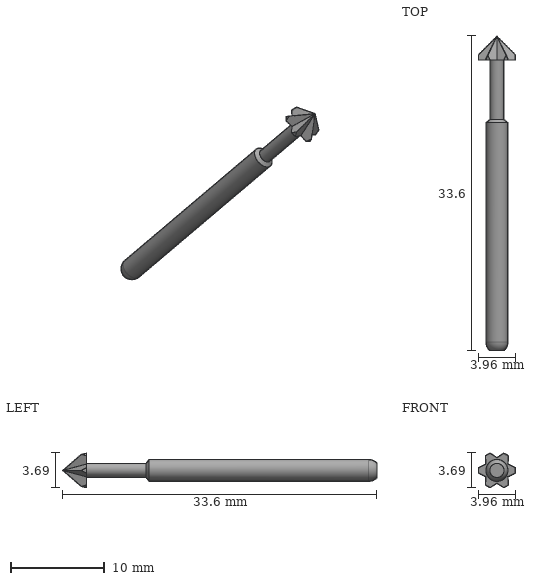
import cadquery as cq
import math

total_length = 33.6
tooth_count = 6

head_length = 2.55
head_radius = 1.98
ridge_radius = head_length
groove_radius = 1.38

neck_radius = 0.755
shank_radius = 1.18
shank_start = 9.25
shoulder_length = 0.35
end_flat_radius = 0.755
end_round_length = math.sqrt(shank_radius**2 - end_flat_radius**2)


def star_point(index):
    """Corner of the star at the back of the head; even corners are ridges, odd ones grooves."""
    radius = groove_radius if index % 2 else ridge_radius
    angle = math.pi * index / tooth_count
    return cq.Vector(radius * math.cos(angle), -head_length, radius * math.sin(angle))


def flat_face(corners):
    return cq.Face.makeFromWires(cq.Wire.makePolygon(corners, close=True))


def cutting_head():
    """Star-shaped pyramid with its ridges trimmed to the head diameter."""
    tip = cq.Vector(0, 0, 0)
    corners = [star_point(i) for i in range(2 * tooth_count)]
    faces = [flat_face(corners)]
    for i, corner in enumerate(corners):
        faces.append(flat_face([tip, corners[i - 1], corner]))
    pyramid = cq.Solid.makeSolid(cq.Shell.makeShell(faces))
    envelope = cq.Workplane("XZ").circle(head_radius).extrude(head_length)
    return envelope.intersect(cq.Workplane(obj=pyramid))


def neck_and_shank():
    """Turned stem with a conical shoulder and a spherical end cut off flat."""
    sphere_y = end_round_length - total_length
    mid_angle = math.acos(end_flat_radius / shank_radius) / 2
    round_middle = (shank_radius * math.cos(mid_angle), sphere_y - shank_radius * math.sin(mid_angle))
    return (
        cq.Workplane("XY")
        .moveTo(0, -head_length)
        .lineTo(neck_radius, -head_length)
        .lineTo(neck_radius, shoulder_length - shank_start)
        .lineTo(shank_radius, -shank_start)
        .lineTo(shank_radius, sphere_y)
        .threePointArc(round_middle, (end_flat_radius, -total_length))
        .lineTo(0, -total_length)
        .close()
        .revolve(360, (0, 0, 0), (0, 1, 0))
    )


result = neck_and_shank().union(cutting_head())